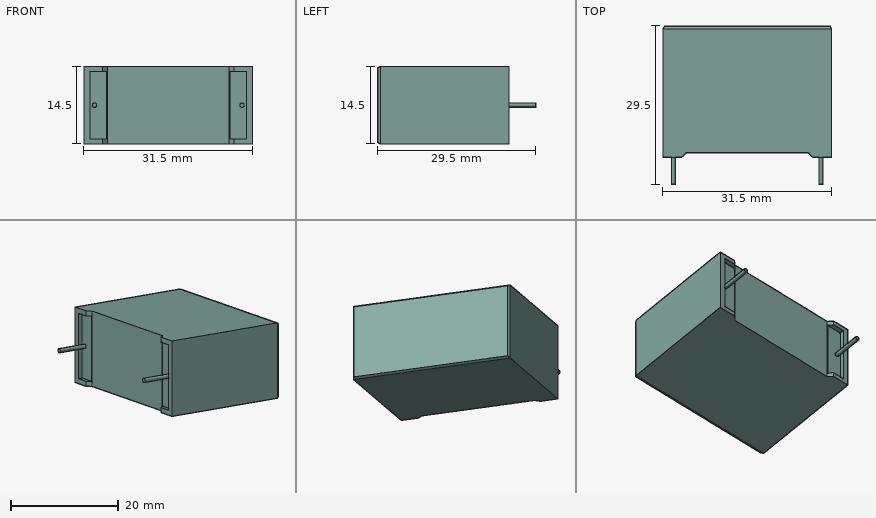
import cadquery as cq

case_width = 31.5
case_depth = 24.5
case_height = 14.52

side_wall = 1.13
top_wall = 0.98
back_wall = 1.13
web_thickness = 0.98

bevel_depth = 0.5
bevel_inset = 0.3

foot_width = 3.53
foot_slope_width = 0.85
foot_height = 0.85

window_width = 3.12
resin_recess = 0.85

lead_diameter = 0.82
lead_spacing = 27.5
lead_length = 5.0

half_width = case_width / 2
inner_width = case_width - 2 * side_wall
inner_height = case_height - 2 * top_wall
window_x = half_width - side_wall - window_width / 2
cavity_front = foot_height + web_thickness
cavity_back = case_depth - back_wall


def block(width, height, y_front, y_back, x_center=0.0):
    """Box centred on Z = 0 that spans y_front to y_back."""
    depth = y_back - y_front
    return cq.Workplane("XY").box(width, depth, height).translate((x_center, y_front + depth / 2, 0))


def make_resin():
    """Filling of the case, with a raised pad under each window."""
    resin = block(inner_width, inner_height, cavity_front, cavity_back)
    for side in (-1, 1):
        pad = block(window_width, inner_height, resin_recess, cavity_front, side * window_x)
        resin = resin.union(pad)
    return resin


def make_case_blank():
    """Solid case outline with sloped feet and a bevelled back."""
    foot_edge = half_width - foot_width
    relief_edge = foot_edge - foot_slope_width
    bevel_start = case_depth - bevel_depth
    profile = [
        (-half_width, 0),
        (-foot_edge, 0),
        (-relief_edge, foot_height),
        (relief_edge, foot_height),
        (foot_edge, 0),
        (half_width, 0),
        (half_width, bevel_start),
        (-half_width, bevel_start),
    ]
    blank = (
        cq.Workplane("XY").workplane(offset=-case_height / 2)
        .polyline(profile).close().extrude(case_height)
    )
    bevelled_back = (
        cq.Workplane("XZ", origin=(0, bevel_start, 0))
        .rect(case_width, case_height)
        .workplane(offset=-bevel_depth)
        .rect(case_width - 2 * bevel_inset, case_height - 2 * bevel_inset)
        .loft(ruled=True)
    )
    return blank.union(bevelled_back)


def make_case(resin):
    """Case with open windows and a cavity that matches the resin."""
    case = make_case_blank()
    for side in (-1, 1):
        case = case.cut(block(window_width, inner_height, 0, resin_recess, side * window_x))
    return case.cut(resin)


def make_lead(x):
    """Round lead standing on the resin surface."""
    return (
        cq.Workplane("XZ", origin=(x, resin_recess, 0))
        .circle(lead_diameter / 2)
        .extrude(resin_recess + lead_length)
    )


resin = make_resin()
case = make_case(resin)
leads = [make_lead(side * lead_spacing / 2) for side in (-1, 1)]

result = cq.Compound.makeCompound([case.val(), resin.val(), *[lead.val() for lead in leads]])